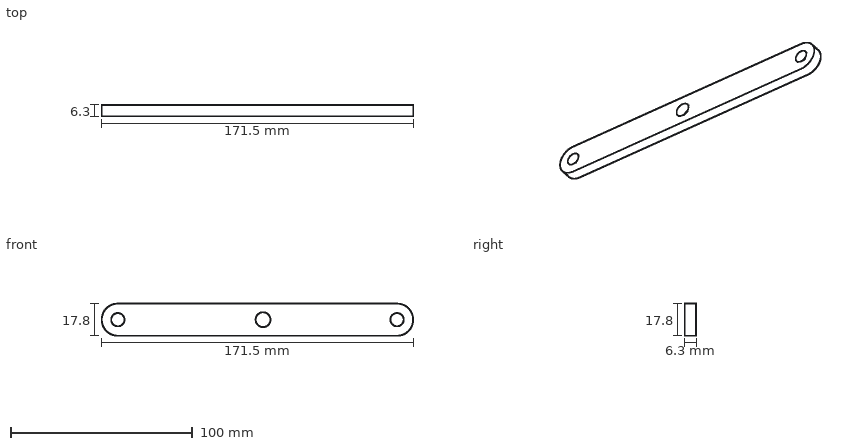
import cadquery as cq

length = 171.5
width = 17.8
thickness = 6.3
end_hole_diameter = 7.2
middle_hole_diameter = 8.0
middle_hole_offset = 3.1

end_center = (length - width) / 2


def through_holes(body, positions, diameter):
    """Drill holes through the thickness at the given X positions."""
    points = [(x, 0) for x in positions]
    return body.faces("<Y").workplane(origin=(0, 0, 0)).pushPoints(points).hole(diameter)


bar = cq.Workplane("XZ").slot2D(length, width).extrude(thickness / 2, both=True)
bar = through_holes(bar, [-end_center, end_center], end_hole_diameter)
result = through_holes(bar, [middle_hole_offset], middle_hole_diameter)